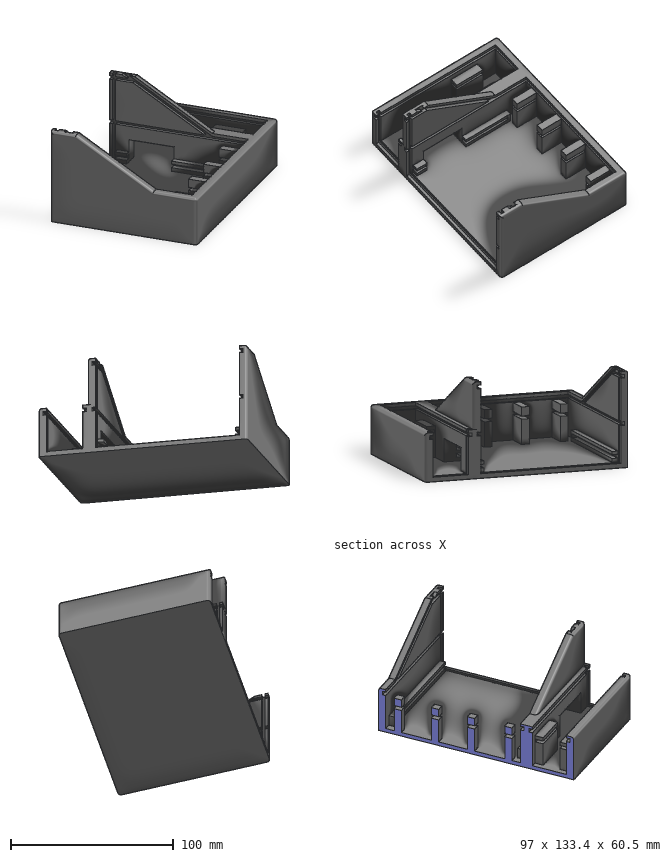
import cadquery as cq
import math

LENGTH = 97.0
WIDTH = 133.4
TALL_HEIGHT = 60.5
LOW_HEIGHT = 31.0
EDGE_RADIUS = 2.0

WALL = 5.1
FLOOR = 3.0
MAIN_WIDTH = 91.9
DIVIDER = 8.3
BACK_X = LENGTH - WALL
MAIN_Y0 = WALL
MAIN_Y1 = MAIN_Y0 + MAIN_WIDTH
SIDE_Y0 = MAIN_Y1 + DIVIDER
SIDE_Y1 = WIDTH - WALL

SLOPE_START_X = 16.8
SLOPE_ANGLE = math.radians(30)

LIP = 2.0
GROOVE = 2.3
GROOVE_DEPTH = 2.3
FLOOR_GROOVE_DEPTH = 2.0
LOW_GROOVE_TOP = LOW_HEIGHT - LIP
LOW_GROOVE_BOTTOM = LOW_GROOVE_TOP - GROOVE
TALL_GROOVE_TOP = TALL_HEIGHT - LIP
TALL_GROOVE_BOTTOM = TALL_GROOVE_TOP - GROOVE
SLOPE_LIP = 1.7
SLOPE_GROOVE = 2.5
SLOPE_GROOVE_FLOOR = SLOPE_LIP + SLOPE_GROOVE
FRONT_GROOVE_X = 2.0
FRONT_GROOVE = 2.0

POST_X = 77.0
POST_WIDTH = 5.1
POST_MIDDLE_Y = (MAIN_Y0 + MAIN_Y1) / 2
POST_OFFSETS = (12.3, 37.8)
POST_TOP = 26.4
POST_SLOT_Z = 18.8
BOARD_SLOT = 2.0

SIDE_POST_X = 57.8
SIDE_POST_LENGTH = 20.1
SIDE_POST_DEPTH = 5.7
SIDE_POST_TOP = 22.7
SIDE_POST_SLOT_Z = 18.3
SIDE_POST_CORE = 0.5

RAIL_START_X = 5.1
RAIL_END_X = POST_X
RAIL_DEPTH = 3.9
RAIL_TOP = 9.7
RAIL_SLOT_Z = 5.3
RAIL_SLOT = 2.4
RAIL_STOP = 2.0

WINDOW_X0 = 13.0
WINDOW_X1 = 42.7
WINDOW_HEIGHT = 14.7


def block(x0, x1, y0, y1, z0, z1):
    """Box given by its limits along each axis."""
    return cq.Workplane("XY").box(x1 - x0, y1 - y0, z1 - z0, centered=False).translate((x0, y0, z0))


def plate(outline, y0, y1):
    """Prism with an XZ outline, reaching from y0 to y1."""
    return cq.Workplane("XZ", origin=(0, y1, 0)).polyline(outline).close().extrude(y1 - y0)


def slope_x(offset, z):
    """X where a line parallel to the slope, set below it by offset, passes height z."""
    return SLOPE_START_X + (TALL_HEIGHT - z) / math.tan(SLOPE_ANGLE) - offset / math.sin(SLOPE_ANGLE)


def outer_body():
    """Solid block with the stepped tall wall along y = 0 and rounded outer edges."""
    wall_outline = [
        (0, 0),
        (LENGTH, 0),
        (LENGTH, LOW_HEIGHT),
        (slope_x(0, LOW_HEIGHT), LOW_HEIGHT),
        (SLOPE_START_X, TALL_HEIGHT),
        (0, TALL_HEIGHT),
    ]
    body = block(0, LENGTH, 0, WIDTH, 0, LOW_HEIGHT).union(plate(wall_outline, 0, WALL))
    uprights = body.edges("|Z").edges("<Y or >Y")
    tall_wall_rim = body.faces("<Y").edges("not(|Z or <Z)")
    low_top_center = (LENGTH / 2, WIDTH / 2, LOW_HEIGHT)
    low_top = body.faces(cq.selectors.NearestToPointSelector(low_top_center))
    low_rim = low_top.edges(">X or >Y")
    return uprights.add(tall_wall_rim).add(low_rim).fillet(EDGE_RADIUS)


def divider_wall():
    """Tall part of the divider, rounded toward the side compartment and rooted in the low block."""
    root_z = LOW_HEIGHT - WALL
    outline = [
        (0, root_z),
        (slope_x(0, root_z), root_z),
        (SLOPE_START_X, TALL_HEIGHT),
        (0, TALL_HEIGHT),
    ]
    wall = plate(outline, MAIN_Y1, MAIN_Y1 + WALL)
    return wall.faces(">Y").edges("not <Z").fillet(EDGE_RADIUS)


def compartment_cut(y0, y1, top):
    """Cavity open at the front and up to height top, with its lid groove and front panel groove."""
    groove_y0 = y0 - GROOVE_DEPTH
    groove_y1 = y1 + GROOVE_DEPTH
    cavity = block(0, BACK_X, y0, y1, FLOOR, top)
    lid_groove = block(0, BACK_X + GROOVE_DEPTH, groove_y0, groove_y1, LOW_GROOVE_BOTTOM, LOW_GROOVE_TOP)
    front_groove = block(
        FRONT_GROOVE_X,
        FRONT_GROOVE_X + FRONT_GROOVE,
        groove_y0,
        groove_y1,
        FLOOR - FLOOR_GROOVE_DEPTH,
        top,
    )
    return cavity.union(lid_groove).union(front_groove)


def tall_grooves():
    """Level and sloped panel grooves near the top of the two tall walls."""
    y0 = MAIN_Y0 - GROOVE_DEPTH
    y1 = MAIN_Y1 + GROOVE_DEPTH
    level = plate(
        [
            (0, TALL_GROOVE_BOTTOM),
            (slope_x(SLOPE_GROOVE_FLOOR, TALL_GROOVE_BOTTOM), TALL_GROOVE_BOTTOM),
            (slope_x(SLOPE_GROOVE_FLOOR, TALL_GROOVE_TOP), TALL_GROOVE_TOP),
            (0, TALL_GROOVE_TOP),
        ],
        y0,
        y1,
    )
    sloped = plate(
        [
            (slope_x(SLOPE_GROOVE_FLOOR, TALL_HEIGHT), TALL_HEIGHT),
            (slope_x(SLOPE_LIP, TALL_HEIGHT), TALL_HEIGHT),
            (slope_x(SLOPE_LIP, LOW_GROOVE_BOTTOM), LOW_GROOVE_BOTTOM),
            (slope_x(SLOPE_GROOVE_FLOOR, LOW_GROOVE_BOTTOM), LOW_GROOVE_BOTTOM),
        ],
        y0,
        y1,
    )
    return level.union(sloped)


def back_post(center_y):
    """Post on the back wall, parted by a board slot that reaches the wall."""
    y0 = center_y - POST_WIDTH / 2
    y1 = center_y + POST_WIDTH / 2
    lower = block(POST_X, BACK_X, y0, y1, FLOOR, POST_SLOT_Z)
    upper = block(POST_X, BACK_X, y0, y1, POST_SLOT_Z + BOARD_SLOT, POST_TOP)
    return lower.union(upper)


def side_post(wall_y, inward):
    """Post on a long wall of the side compartment; inward is the sign of its Y direction."""
    x1 = SIDE_POST_X + SIDE_POST_LENGTH
    y0, y1 = sorted((wall_y, wall_y + inward * SIDE_POST_DEPTH))
    slot_y0, slot_y1 = sorted((wall_y + inward * SIDE_POST_CORE, wall_y + inward * SIDE_POST_DEPTH))
    post = block(SIDE_POST_X, x1, y0, y1, FLOOR, SIDE_POST_TOP)
    slot_top = SIDE_POST_SLOT_Z + BOARD_SLOT
    return post.cut(block(SIDE_POST_X, x1, slot_y0, slot_y1, SIDE_POST_SLOT_Z, slot_top))


def rail(wall_y, inward):
    """Rail on a long wall of the main compartment; its slot reaches the wall and is closed at the rear."""
    y0, y1 = sorted((wall_y, wall_y + inward * RAIL_DEPTH))
    body = block(RAIL_START_X, RAIL_END_X, y0, y1, FLOOR, RAIL_TOP)
    slot_top = RAIL_SLOT_Z + RAIL_SLOT
    return body.cut(block(RAIL_START_X, RAIL_END_X - RAIL_STOP, y0, y1, RAIL_SLOT_Z, slot_top))


result = outer_body().union(divider_wall())
result = result.cut(compartment_cut(MAIN_Y0, MAIN_Y1, TALL_HEIGHT))
result = result.cut(compartment_cut(SIDE_Y0, SIDE_Y1, LOW_HEIGHT))
result = result.cut(tall_grooves())

result = result.union(rail(MAIN_Y0, 1)).union(rail(MAIN_Y1, -1))
window_top = FLOOR + WINDOW_HEIGHT
result = result.cut(block(WINDOW_X0, WINDOW_X1, MAIN_Y1 - RAIL_DEPTH, SIDE_Y0, FLOOR, window_top))

for offset in POST_OFFSETS:
    for side in (-1, 1):
        result = result.union(back_post(POST_MIDDLE_Y + side * offset))
result = result.union(side_post(SIDE_Y0, 1)).union(side_post(SIDE_Y1, -1))